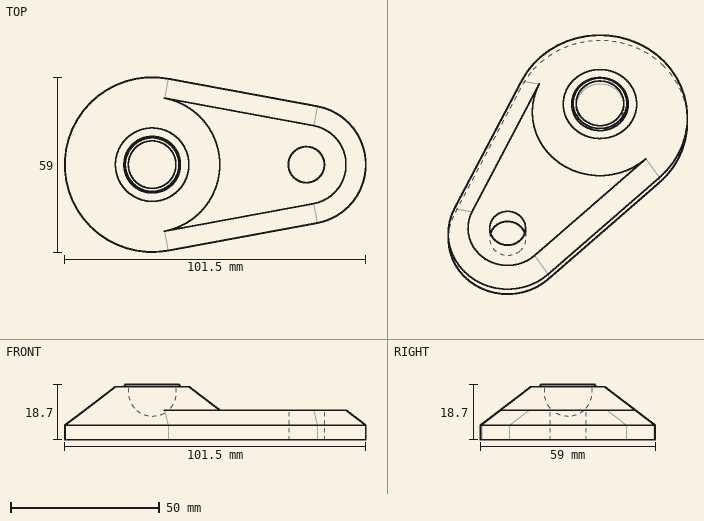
import cadquery as cq
import math

overall_length = 101.5
overall_height = 18.7
dome_diameter = 59.0
eye_spacing = 52.0
eye_hole_diameter = 12.1
rim_height = 5.0
arm_height = 10.0
dome_height = 18.0
dome_top_radius = 12.4

collar_base_radius = 9.5
collar_top_radius = 9.0
socket_radius = 8.0
socket_wall_depth = 2.6

dome_radius = dome_diameter / 2
eye_radius = overall_length - dome_radius - eye_spacing
slope_run = (dome_radius - dome_top_radius) / (dome_height - rim_height)
arm_inset = slope_run * (arm_height - rim_height)


def frustum(base_radius, top_radius, base_z, top_z):
    """Cone section with a vertical axis through the origin."""
    return cq.Workplane(cq.Solid.makeCone(
        base_radius, top_radius, top_z - base_z, pnt=cq.Vector(0, 0, base_z)
    ))


def tangent_outline(inset, z):
    """Closed wire around the dome and eye circles, both reduced by the inset."""
    tangent_cos = (dome_radius - eye_radius) / eye_spacing
    tangent_sin = math.sqrt(1 - tangent_cos**2)
    large = dome_radius - inset
    small = eye_radius - inset
    return (
        cq.Workplane("XY", origin=(0, 0, z))
        .moveTo(large * tangent_cos, -large * tangent_sin)
        .lineTo(eye_spacing + small * tangent_cos, -small * tangent_sin)
        .threePointArc((eye_spacing + small, 0), (eye_spacing + small * tangent_cos, small * tangent_sin))
        .lineTo(large * tangent_cos, large * tangent_sin)
        .threePointArc((-large, 0), (large * tangent_cos, -large * tangent_sin))
        .close()
    )


def sloped_arm():
    """Rim plate with a sloped-edge layer above it."""
    rim = tangent_outline(0, 0).extrude(rim_height)
    bottom_wire = tangent_outline(0, rim_height).val()
    top_wire = tangent_outline(arm_inset, arm_height).val()
    slope = cq.Workplane(cq.Solid.makeLoft([bottom_wire, top_wire], True))
    return rim.union(slope)


def socket():
    """Straight bore ending in a hemisphere."""
    floor_z = overall_height - socket_wall_depth
    bore = cq.Workplane("XY", origin=(0, 0, floor_z)).circle(socket_radius).extrude(socket_wall_depth)
    ball = cq.Workplane("XY", origin=(0, 0, floor_z)).sphere(socket_radius)
    return bore.union(ball)


def eye_hole():
    """Through hole near the narrow end."""
    return cq.Workplane("XY").center(eye_spacing, 0).circle(eye_hole_diameter / 2).extrude(arm_height)


dome = frustum(dome_radius, dome_top_radius, rim_height, dome_height)
collar = frustum(collar_base_radius, collar_top_radius, dome_height, overall_height)
result = sloped_arm().union(dome).union(collar).cut(socket()).cut(eye_hole())